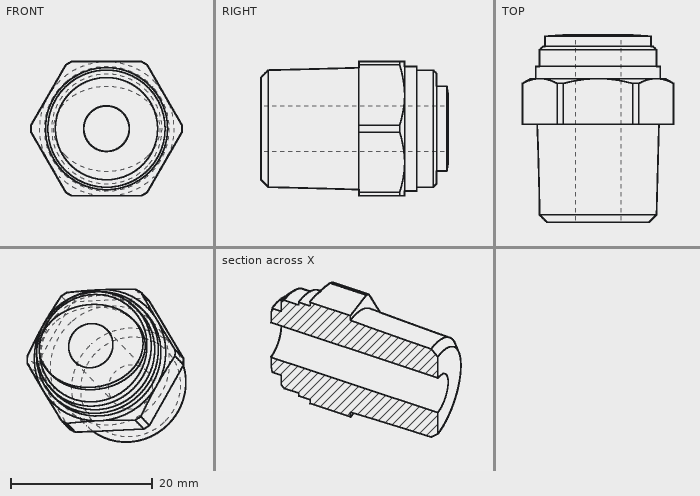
import cadquery as cq
import math

total_length = 26.5
bore_radius = 3.2

shank_root_radius = 8.65
shank_end_radius = 8.3
shank_tip_radius = 7.23
shank_chamfer_length = 1.05

hex_across_flats = 19.0
hex_corner_radius = 10.7
hex_front = 13.85
hex_back = 20.33
hex_chamfer_radius = 9.51
hex_chamfer_angle = 30.0

collar_radius = 8.82
collar_back = 22.07
body_radius = 8.3
body_back = 24.88
body_chamfer = 0.5

ring_half_width = 7.53
ring_half_height = 6.02
ring_rim = 26.31
ring_face_radius = 4.9


def revolve_about_y(half_profile):
    """Turn a closed (radius, Y) outline about the Y axis."""
    return cq.Workplane("XY").polyline(half_profile).close().revolve(360, (0, 0, 0), (0, 1, 0))


def plane_at(y):
    """Cross-section plane at height y, with its normal toward -Y."""
    return cq.Workplane("XZ", origin=(0, y, 0))


def make_turned_body():
    return revolve_about_y([
        (0, 0),
        (shank_tip_radius, 0),
        (shank_end_radius, shank_chamfer_length),
        (shank_root_radius, hex_front),
        (collar_radius, hex_front),
        (collar_radius, collar_back),
        (body_radius, collar_back),
        (body_radius, body_back - body_chamfer),
        (body_radius - body_chamfer, body_back),
        (0, body_back),
    ])


def make_hexagon():
    across_corners = hex_across_flats / math.cos(math.radians(30))
    prism = plane_at(hex_back).polygon(6, across_corners).extrude(hex_back - hex_front)
    chamfer_length = (hex_corner_radius - hex_chamfer_radius) * math.tan(math.radians(hex_chamfer_angle))
    envelope = revolve_about_y([
        (0, hex_front),
        (hex_corner_radius, hex_front),
        (hex_corner_radius, hex_back - chamfer_length),
        (hex_chamfer_radius, hex_back),
        (0, hex_back),
    ])
    return prism.intersect(envelope)


def make_release_ring():
    straight = plane_at(ring_rim).ellipse(ring_half_width, ring_half_height).extrude(ring_rim - body_back)
    raised_end = (
        plane_at(total_length)
        .circle(ring_face_radius)
        .workplane(offset=total_length - ring_rim)
        .ellipse(ring_half_width, ring_half_height)
        .loft()
    )
    return straight.union(raised_end)


bore = plane_at(total_length).circle(bore_radius).extrude(total_length)

result = make_turned_body().union(make_hexagon()).union(make_release_ring()).cut(bore)